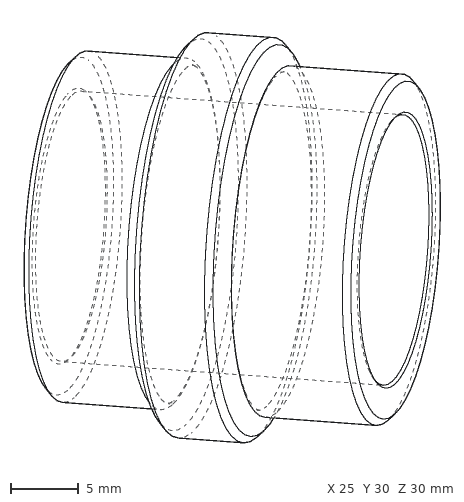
import cadquery as cq

length = 25.0
body_radius = 26.0 / 2
flange_radius = 30 / 2
bore_radius = 20.0 / 2
flange_start = 9.0
flange_width = 6.0
groove_width = 1.0
edge_chamfer = 0.5
bore_chamfer = 0.2

groove_radius = groove_width / 2
start_x = -length / 2
flange_left = start_x + flange_start
flange_right = flange_left + flange_width


def cylinder(x, width, radius):
    """Solid disc around the X axis, from x to x + width."""
    return cq.Workplane("YZ", origin=(x, 0, 0)).circle(radius).extrude(width)


def relief_groove(center_x):
    """Ring of round section centred on the body surface."""
    return (
        cq.Workplane("XY")
        .center(center_x, body_radius)
        .circle(groove_radius)
        .revolve(360, (0, -body_radius, 0), (1, -body_radius, 0))
    )


body = cylinder(start_x, length, body_radius).faces("<X or >X").chamfer(edge_chamfer)

for center_x in (flange_left - groove_radius, flange_right + groove_radius):
    body = body.cut(relief_groove(center_x))

flange = cylinder(flange_left, flange_width, flange_radius).faces("<X or >X").chamfer(edge_chamfer)
body = body.union(flange)

bore = cylinder(start_x, length, bore_radius)
result = body.cut(bore).faces("<X or >X").edges("%CIRCLE").edges(
    cq.selectors.RadiusNthSelector(0)
).chamfer(bore_chamfer)